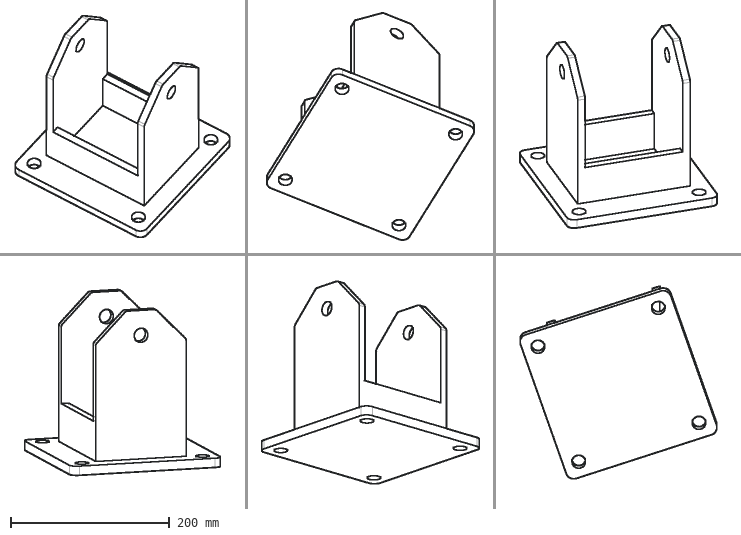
import cadquery as cq

total_height = 202.0
base_side = 200.0

base_thickness = 12.0
base_corner_radius = 10.0
bolt_spacing = 160.0
bolt_hole_diameter = 17.0

bracket_length = 150.0
bracket_width = 120.0
wall_thickness = 10.0
cross_wall_height = 50.0

shoulder_size = 40.0
shoulder_radius = 5.0
pin_hole_diameter = 18.0
pin_drop = 32.0


def make_base():
    """Rounded square plate with a through hole near each corner."""
    return (
        cq.Workplane("XY")
        .box(base_side, base_side, base_thickness, centered=(True, True, False))
        .edges("|Z")
        .fillet(base_corner_radius)
        .faces(">Z")
        .workplane()
        .rect(bolt_spacing, bolt_spacing, forConstruction=True)
        .vertices()
        .hole(bolt_hole_diameter)
    )


def make_ear(x_start):
    """Side wall reaching from x_start along +X by the wall thickness."""
    half_width = bracket_width / 2
    half_top = half_width - shoulder_size
    shoulder_z = total_height - shoulder_size
    outline = [
        (-half_width, base_thickness),
        (half_width, base_thickness),
        (half_width, shoulder_z),
        (half_top, total_height),
        (-half_top, total_height),
        (-half_width, shoulder_z),
    ]
    ear = cq.Workplane("YZ", origin=(x_start, 0, 0)).polyline(outline).close().extrude(wall_thickness)
    ear = ear.edges("|X and (not <Z)").fillet(shoulder_radius)
    pin_hole = (
        cq.Workplane("YZ", origin=(x_start, 0, 0))
        .center(0, total_height - pin_drop)
        .circle(pin_hole_diameter / 2)
        .extrude(wall_thickness)
    )
    return ear.cut(pin_hole)


def make_cross_wall(y_center):
    """Low wall joining the two ears."""
    return (
        cq.Workplane("XY", origin=(0, y_center, base_thickness))
        .box(bracket_length, wall_thickness, cross_wall_height, centered=(True, True, False))
    )


result = make_base()
for ear_start in (-bracket_length / 2, bracket_length / 2 - wall_thickness):
    result = result.union(make_ear(ear_start))
for side in (-1, 1):
    result = result.union(make_cross_wall(side * (bracket_width - wall_thickness) / 2))